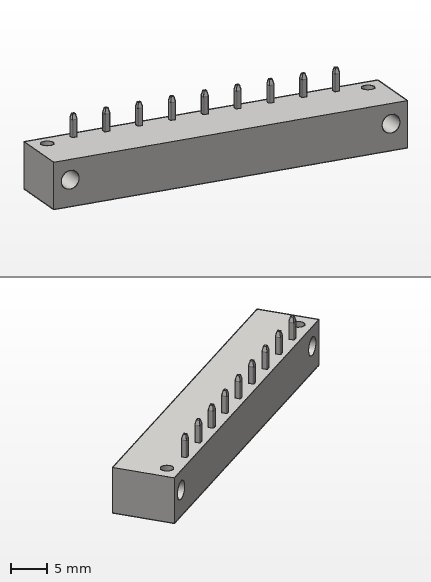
import cadquery as cq

BODY_WIDTH = 9.2
BODY_LENGTH = 54.74
BODY_HEIGHT = 7.0

PIN_COUNT = 9
PIN_PITCH = 5.08
PIN_ROW_LENGTH = (PIN_COUNT - 1) * PIN_PITCH
PIN_X = 1.2
PIN_SIZE = 0.8
PIN_HEIGHT = 3.4
PIN_TIP_HEIGHT = 0.8
PIN_EDGE_RADIUS = 0.1
PIN_TIP_INSET = 0.2

HOLE_TO_PIN = 4.5
HOLE_SPACING = PIN_ROW_LENGTH + 2 * HOLE_TO_PIN
VERTICAL_HOLE_DIAMETER = 1.85
VERTICAL_HOLE_X = 2.1
CROSS_HOLE_DIAMETER = 2.75
CROSS_HOLE_DEPTH_BELOW_TOP = 3.0

RIB_X = 5.8
RIB_WIDTH = 0.4
RIB_LENGTH = 45.8
RIB_HEIGHT = 0.25
RIB_EDGE_RADIUS = 0.2


def make_body():
    """Block with its -X face at X = 0, its bottom at Z = 0, centred on Y."""
    return cq.Workplane("XY").box(BODY_WIDTH, BODY_LENGTH, BODY_HEIGHT, centered=(False, True, False))


def make_pin(y):
    """Square pin with a tip tapered on all four sides and rounded long edges."""
    blank = cq.Workplane("XY", origin=(PIN_X, y, BODY_HEIGHT)).rect(PIN_SIZE, PIN_SIZE).extrude(PIN_HEIGHT)
    tapered = blank.faces(">Z").chamfer(PIN_TIP_HEIGHT, PIN_TIP_INSET)
    rounded = blank.edges("|Z").fillet(PIN_EDGE_RADIUS)
    return tapered.intersect(rounded)


def make_rib():
    """Thin rib hanging below the block, its lower -X edge rounded."""
    return (
        cq.Workplane("XY", origin=(RIB_X, 0, -RIB_HEIGHT))
        .box(RIB_WIDTH, RIB_LENGTH, RIB_HEIGHT, centered=(True, True, False))
        .edges("<Z and <X")
        .fillet(RIB_EDGE_RADIUS)
    )


def make_end_holes(y):
    """Vertical hole and cross hole through one end of the block."""
    vertical = (
        cq.Workplane("XY", origin=(VERTICAL_HOLE_X, y, 0))
        .circle(VERTICAL_HOLE_DIAMETER / 2)
        .extrude(BODY_HEIGHT)
    )
    cross = (
        cq.Workplane("YZ", origin=(0, y, BODY_HEIGHT - CROSS_HOLE_DEPTH_BELOW_TOP))
        .circle(CROSS_HOLE_DIAMETER / 2)
        .extrude(BODY_WIDTH)
    )
    return vertical.union(cross)


result = make_body().union(make_rib())
for side in (-1, 1):
    result = result.cut(make_end_holes(side * HOLE_SPACING / 2))
for index in range(PIN_COUNT):
    pin_y = index * PIN_PITCH - PIN_ROW_LENGTH / 2
    result = result.union(make_pin(pin_y))